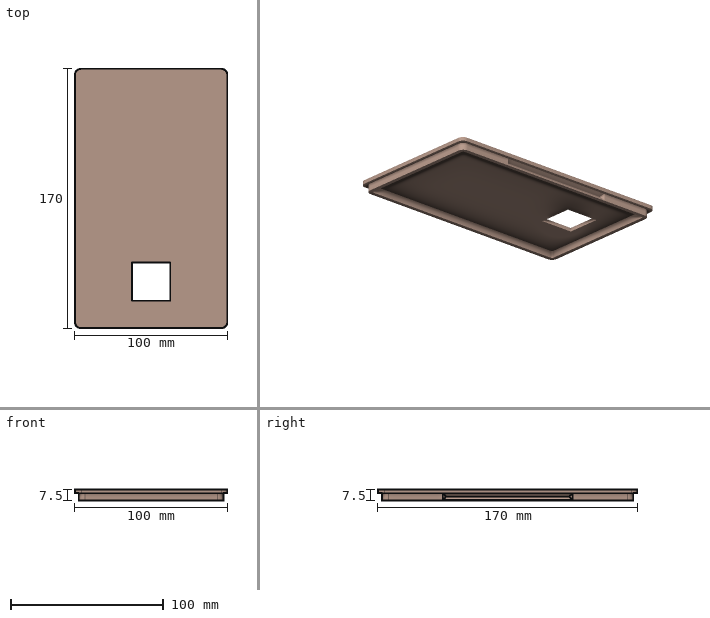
import cadquery as cq

length = 170.0
width = 100.0
total_height = 7.5
plate_thickness = 2.5
corner_radius = 4.0

rim_inset = 2.5
rim_wall = 3.0
rim_height = total_height - plate_thickness
rim_length = length - 2 * rim_inset
rim_width = width - 2 * rim_inset

window_size = 25.0
window_edge_distance = 18.0
window_y = -length / 2 + window_edge_distance + window_size / 2

groove_length = 85.0
groove_height = 4.5
groove_depth = groove_height / 2
groove_center_z = rim_height - groove_height / 2


def make_plate():
    plate = cq.Workplane("XY").workplane(offset=rim_height).rect(width, length).extrude(plate_thickness)
    return plate.edges("|Z").fillet(corner_radius)


def make_rim():
    block = cq.Workplane("XY").rect(rim_width, rim_length).extrude(rim_height)
    block = block.edges("|Z").fillet(corner_radius)
    cavity = (
        cq.Workplane("XY")
        .rect(rim_width - 2 * rim_wall, rim_length - 2 * rim_wall)
        .extrude(rim_height)
        .edges("|Z")
        .fillet(corner_radius - rim_wall)
    )
    return block.cut(cavity)


def make_window():
    return cq.Workplane("XY").center(0, window_y).rect(window_size, window_size).extrude(total_height)


def make_left_groove():
    """Triangular prism pointing into the rim, with both ends cut to 45 degrees."""
    outer_x = -rim_width / 2
    inner_x = outer_x + groove_depth
    half_length = groove_length / 2
    prism = (
        cq.Workplane("XZ", origin=(0, half_length, 0))
        .moveTo(outer_x, groove_center_z - groove_height / 2)
        .lineTo(inner_x, groove_center_z)
        .lineTo(outer_x, groove_center_z + groove_height / 2)
        .close()
        .extrude(groove_length)
    )
    trapezoid = (
        cq.Workplane("XY")
        .moveTo(outer_x, -half_length)
        .lineTo(inner_x, -half_length + groove_depth)
        .lineTo(inner_x, half_length - groove_depth)
        .lineTo(outer_x, half_length)
        .close()
        .extrude(rim_height)
    )
    return prism.intersect(trapezoid)


left_groove = make_left_groove()
right_groove = left_groove.mirror("YZ")

rim = make_rim().cut(left_groove).cut(right_groove)
result = make_plate().union(rim).cut(make_window())